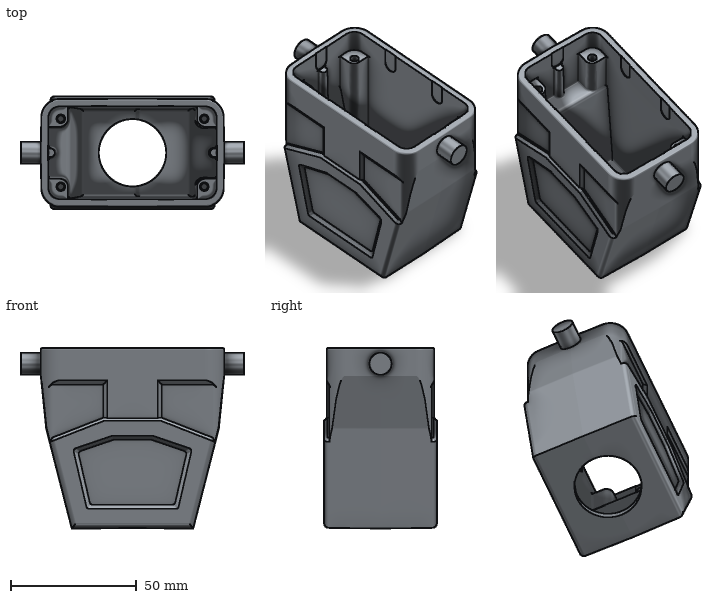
import cadquery as cq
import math

TOTAL_LENGTH = 89.0
TOTAL_WIDTH = 45.0
TOTAL_HEIGHT = 72.0
SHELL_DRAFT = 0.7

COLLAR_LENGTH = 73.2
COLLAR_WIDTH = 43.0
COLLAR_RADIUS = 7.6
RIM_FILLET = 0.7
LEAN_TOP_Z = 60.9

WAIST_Z = 40.0
WAIST_HALF = 34.4
WAIST_RADIUS = 5.3
BASE_HALF = 24.2
LOWER_FILLET = 2.0
SHOULDER_PEAK_Z = 44.5
SHOULDER_PEAK_HALF = 11.6
SHOULDER_END_Z = 36.0
SHOULDER_BEVEL = 1.25

POCKET_DEPTH = 1.0
POCKET_TOP_Z = 59.1
POCKET_INNER_X = 10.0
POCKET_BEVEL = 1.8
POCKET_SIDE_RADIUS = 2.7

LABEL_DEPTH = 1.3
LABEL_BEVEL = 1.7
LABEL_TOP_Z = 37.0
LABEL_TOP_HALF = 8.0
LABEL_SHOULDER_Z = 31.7
LABEL_SHOULDER_HALF = 23.7
LABEL_BASE_Z = 7.8
LABEL_BASE_HALF = 18.2
LABEL_FILLET = 2.2

PIN_DIAMETER = 8.8
PIN_Z = 65.7

WALL = 3.0
MOUTH_FLOOR_Z = 62.3
CAVITY_DRAFT = 1.1
FLOOR_LEFT_Z = 3.6
FLOOR_RIGHT_Z = 6.2
STEP_LEFT_X = 1.3
STEP_RIGHT_X = 2.8
SHELF_Z = 45.4
SHELF_EDGE_X = 24.8
SHELF_FOOT_X = 20.2
SHELF_FILLET = 2.1
FLOOR_FILLET = 0.9
CABLE_HOLE_DIAMETER = 26.8

BOSS_INNER_X = 25.7
BOSS_INNER_Y = 10.4
BOSS_RADIUS = 3.1
SCREW_X = 28.6
SCREW_Y = 13.5
SCREW_DIAMETER = 2.7
SCREW_MOUTH_DIAMETER = 3.5
SCREW_DEPTH = 13.35
INNER_FILLET = 0.7

POST_RADIUS = 1.6
POST_X = 32.5

GROOVE_X = 13.3
GROOVE_WIDTH = 5.8
GROOVE_DEPTH = 0.2

MIN_JOINT_RISE = 13.35
EDGE_GAP = 0.1

SIDES = (-1, 1)
END_SLOPE = (WAIST_HALF - BASE_HALF) / WAIST_Z
MOUTH_LENGTH = COLLAR_LENGTH - 2 * WALL
MOUTH_WIDTH = COLLAR_WIDTH - 2 * WALL
CAVITY_DRIFT = MOUTH_FLOOR_Z * math.tan(math.radians(CAVITY_DRAFT))
MOUTH_RADIUS = COLLAR_RADIUS - WALL


def end_x(z):
    """Half length of the lower body at height z."""
    return BASE_HALF + END_SLOPE * z


def mirrored(right_half):
    """Outline made of its +X half and the mirror image about X = 0."""
    return right_half + [(-x, z) for x, z in reversed(right_half)]


def within(x=None, y=None, z=None):
    """Selector for edges centred on the given coordinates; omitted ones are free."""
    spans = [
        (-TOTAL_LENGTH, TOTAL_LENGTH) if place is None else (place - EDGE_GAP, place + EDGE_GAP)
        for place in (x, y, z)
    ]
    return cq.selectors.BoxSelector([low for low, _ in spans], [high for _, high in spans])


def between_heights(low_z, high_z):
    """Selector for edges centred between two heights."""
    reach = TOTAL_LENGTH
    return cq.selectors.BoxSelector((-reach, -reach, low_z), (reach, reach, high_z))


def on_both_sides(solid, plane):
    """The solid joined with its mirror image across the plane."""
    return solid.union(solid.mirror(plane))


def drafted_slab(outline):
    """Front-half slab that shrinks slightly from Y = 0 to the front face."""
    return cq.Workplane("XZ").polyline(outline).close().extrude(TOTAL_WIDTH / 2, taper=SHELL_DRAFT)


def collar():
    """Front half of the rounded upper body, its ends leaning inwards."""
    middle_x = COLLAR_LENGTH / 2
    face_y = -COLLAR_WIDTH / 2
    corner_x = middle_x + face_y * math.tan(math.radians(SHELL_DRAFT))
    low_z = SHOULDER_END_Z / 2
    block = (
        cq.Workplane("XY", origin=(0, 0, low_z))
        .polyline([(-middle_x, 0), (-corner_x, face_y), (corner_x, face_y), (middle_x, 0)])
        .close()
        .extrude(TOTAL_HEIGHT - low_z)
        .faces("<Y")
        .edges("|Z")
        .fillet(COLLAR_RADIUS)
    )
    lean = (middle_x - WAIST_HALF) / (LEAN_TOP_Z - WAIST_Z)
    clear_z = 2 * TOTAL_HEIGHT
    envelope = mirrored([
        (BASE_HALF, 0),
        (WAIST_HALF, WAIST_Z),
        (WAIST_HALF + lean * (clear_z - WAIST_Z), clear_z),
    ])
    waist = between_heights(WAIST_Z - EDGE_GAP, WAIST_Z + EDGE_GAP)
    leaning_ends = drafted_slab(envelope).edges(waist).fillet(WAIST_RADIUS)
    block = block.intersect(leaning_ends)
    block = block.cut(on_both_sides(collar_pocket(), "YZ"))
    pocket_floor_y = POCKET_DEPTH - COLLAR_WIDTH / 2
    floor_sides = block.edges(within(y=pocket_floor_y)).edges("|Z")
    return floor_sides.edges("<X or >X").fillet(POCKET_SIDE_RADIUS)


def collar_pocket():
    """Bevelled front pocket that runs out through the +X rounded corner."""
    far_x = TOTAL_LENGTH / 2

    def outline(bevel):
        inner_x = POCKET_INNER_X + bevel
        top_z = POCKET_TOP_Z - bevel
        return [(inner_x, 0), (far_x, 0), (far_x, top_z), (inner_x, top_z)]

    return (
        cq.Workplane("XZ", origin=(0, POCKET_DEPTH - COLLAR_WIDTH / 2, 0))
        .polyline(outline(POCKET_BEVEL))
        .close()
        .workplane(offset=POCKET_DEPTH)
        .polyline(outline(0))
        .close()
        .loft(ruled=True)
    )


def lower_body():
    """Front half of the tapered body, its top edge sloping down to both ends."""
    outline = mirrored([
        (BASE_HALF, 0),
        (end_x(SHOULDER_END_Z), SHOULDER_END_Z),
        (SHOULDER_PEAK_HALF, SHOULDER_PEAK_Z),
    ])
    body = drafted_slab(outline)
    body = body.faces("<Y").edges(between_heights(0, SHOULDER_END_Z)).fillet(LOWER_FILLET)
    shoulders = between_heights(SHOULDER_END_Z, TOTAL_HEIGHT)
    return body.faces("<Y").edges(shoulders).chamfer(SHOULDER_BEVEL)


def label_recess():
    """Five-sided recess with sloping sides in the front face."""
    outline = mirrored([
        (LABEL_BASE_HALF, LABEL_BASE_Z),
        (LABEL_SHOULDER_HALF, LABEL_SHOULDER_Z),
        (LABEL_TOP_HALF, LABEL_TOP_Z),
    ])
    side_angle = math.degrees(math.atan(LABEL_BEVEL / LABEL_DEPTH))
    recess = (
        cq.Workplane("XZ", origin=(0, -TOTAL_WIDTH / 2, 0))
        .polyline(outline)
        .close()
        .extrude(-LABEL_DEPTH, taper=side_angle)
    )
    sloping = recess.edges("not(#Y)")
    return sloping.edges(between_heights(0, LABEL_SHOULDER_Z)).fillet(LABEL_FILLET)


def shell():
    front = collar().union(lower_body()).cut(label_recess())
    return on_both_sides(front, "XZ").faces(">Z").edges().fillet(RIM_FILLET)


def locking_pins():
    pin = cq.Workplane("YZ").center(0, PIN_Z).circle(PIN_DIAMETER / 2)
    return pin.extrude(TOTAL_LENGTH / 2, both=True)


def mouth():
    """Straight upper part of the cavity with U-shaped wall grooves."""
    depth = TOTAL_HEIGHT - MOUTH_FLOOR_Z
    opening = (
        cq.Workplane("XY", origin=(0, 0, MOUTH_FLOOR_Z))
        .rect(MOUTH_LENGTH, MOUTH_WIDTH)
        .extrude(depth)
        .edges("|Z")
        .fillet(MOUTH_RADIUS)
    )
    round_z = MOUTH_FLOOR_Z + GROOVE_WIDTH / 2
    long_reach = MOUTH_WIDTH / 2 + GROOVE_DEPTH
    end_reach = MOUTH_LENGTH / 2 + GROOVE_DEPTH
    for plane, places, reach in (
        ("XZ", (-GROOVE_X, GROOVE_X), long_reach),
        ("YZ", (0,), end_reach),
    ):
        for place in places:
            groove = (
                cq.Workplane(plane)
                .moveTo(place - GROOVE_WIDTH / 2, TOTAL_HEIGHT)
                .lineTo(place - GROOVE_WIDTH / 2, round_z)
                .threePointArc((place, MOUTH_FLOOR_Z), (place + GROOVE_WIDTH / 2, round_z))
                .lineTo(place + GROOVE_WIDTH / 2, TOTAL_HEIGHT)
                .close()
                .extrude(reach, both=True)
            )
            opening = opening.union(groove)
    return opening


def chamber():
    """Drafted lower part of the cavity: shelf at -X, stepped floor, slope at +X."""
    half = MOUTH_LENGTH / 2
    profile = [
        (-half, MOUTH_FLOOR_Z),
        (-half, SHELF_Z),
        (-SHELF_EDGE_X, SHELF_Z),
        (-SHELF_FOOT_X, FLOOR_LEFT_Z),
        (STEP_LEFT_X, FLOOR_LEFT_Z),
        (STEP_RIGHT_X, FLOOR_RIGHT_Z),
        (end_x(FLOOR_RIGHT_Z) - WALL, FLOOR_RIGHT_Z),
        (end_x(MOUTH_FLOOR_Z) - WALL, MOUTH_FLOOR_Z),
    ]
    section = cq.Workplane("XZ").polyline(profile).close().extrude(TOTAL_WIDTH / 2, both=True)
    walls = (
        cq.Workplane("XY", origin=(0, 0, MOUTH_FLOOR_Z))
        .sketch()
        .rect(MOUTH_LENGTH, MOUTH_WIDTH)
        .vertices()
        .fillet(MOUTH_RADIUS)
        .finalize()
        .extrude(-MOUTH_FLOOR_Z, taper=CAVITY_DRAFT)
    )
    space = walls.intersect(section)
    for z in (FLOOR_LEFT_Z, FLOOR_RIGHT_Z):
        space = space.edges(within(z=z)).fillet(FLOOR_FILLET)
    return space.edges(within(x=-SHELF_EDGE_X, z=SHELF_Z)).fillet(SHELF_FILLET)


def corner_boss():
    """Drafted boss that fills the +X +Y corner of the chamber."""
    length = TOTAL_LENGTH / 2 - BOSS_INNER_X
    width = TOTAL_WIDTH / 2 - BOSS_INNER_Y
    return (
        cq.Workplane("XY", origin=(BOSS_INNER_X + length / 2, BOSS_INNER_Y + width / 2, MOUTH_FLOOR_Z))
        .sketch()
        .rect(length, width)
        .vertices()
        .fillet(BOSS_RADIUS)
        .finalize()
        .extrude(-MOUTH_FLOOR_Z, taper=-CAVITY_DRAFT)
    )


def guide_post():
    """Round post half sunk into the +X end wall."""
    top = cq.Workplane("XY", origin=(POST_X, 0, MOUTH_FLOOR_Z))
    return top.circle(POST_RADIUS).extrude(-MOUTH_FLOOR_Z, taper=-CAVITY_DRAFT)


def is_inner_corner(edge):
    """True for the joints of bosses and posts with the walls and the shelf."""
    middle = edge.Center()
    rise = abs(edge.startPoint().z - edge.endPoint().z)
    upright = rise > MIN_JOINT_RISE
    at_end_wall = abs(middle.x) > POST_X - EDGE_GAP
    on_long_wall = abs(middle.y) > MOUTH_WIDTH / 2 - CAVITY_DRIFT
    at_long_wall = on_long_wall and abs(middle.x) > BOSS_INNER_X - CAVITY_DRIFT
    around_shelf = abs(middle.z - SHELF_Z) < EDGE_GAP and middle.x < -SHELF_EDGE_X - SHELF_FILLET
    return (upright and (at_end_wall or at_long_wall)) or around_shelf


def cavity():
    """Chamber minus the bosses and posts that stand in it, plus the mouth."""
    right_standing = on_both_sides(corner_boss(), "XZ").union(guide_post())
    space = chamber().cut(on_both_sides(right_standing, "YZ"))
    joints = [edge for edge in space.edges().vals() if is_inner_corner(edge)]
    return space.newObject(joints).fillet(INNER_FILLET).union(mouth())


def screw_holes():
    """Holes in the bosses, narrowing slightly from the mouth to the bottom."""
    narrowing = math.degrees(math.atan((SCREW_MOUTH_DIAMETER - SCREW_DIAMETER) / 2 / SCREW_DEPTH))
    return (
        cq.Workplane("XY", origin=(0, 0, MOUTH_FLOOR_Z))
        .pushPoints([(x * SCREW_X, y * SCREW_Y) for x in SIDES for y in SIDES])
        .circle(SCREW_MOUTH_DIAMETER / 2)
        .extrude(-SCREW_DEPTH, taper=narrowing)
    )


def cable_hole():
    return cq.Workplane("XY").circle(CABLE_HOLE_DIAMETER / 2).extrude(SHELF_Z)


result = shell().union(locking_pins()).cut(cavity()).cut(screw_holes()).cut(cable_hole())